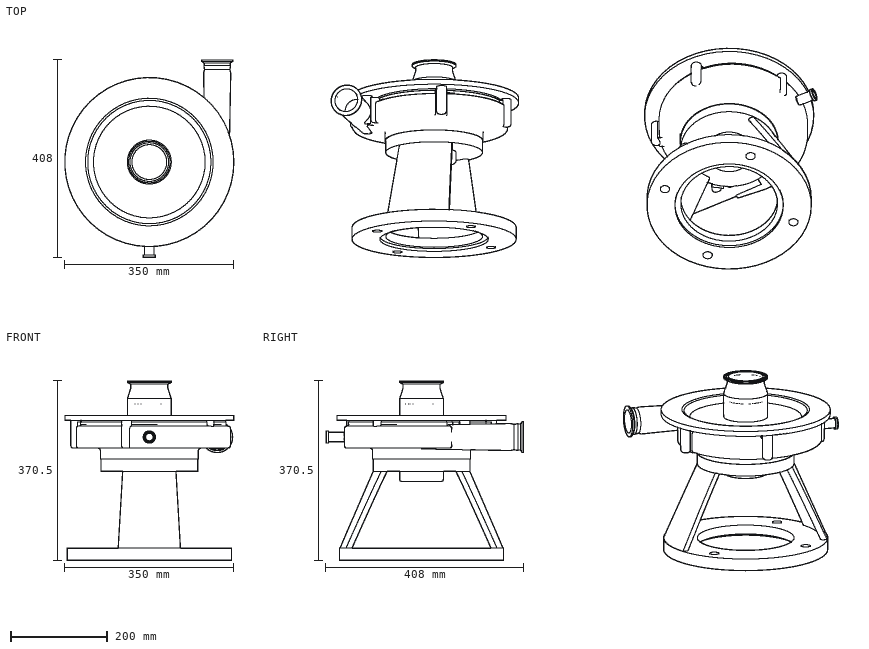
import cadquery as cq
import math

BASE_R = 170.0
BASE_BORE_R = 100.0
BASE_H = 25.0
BASE_RECESS_R = 112.0
BASE_RECESS_DEPTH = 6.0
BOLT_CIRCLE_R = 140.0
BOLT_HOLE_D = 19.0
BOLT_COUNT = 4

LEG_TOP_Z = 184.0
LEG_TOP_R = 100.0
LEG_BOTTOM_R = 169.0
LEG_THICKNESS = 14.0
LEG_TOP_HALF_W = 55.3
LEG_BOTTOM_HALF_W = 64.6
LEG_EDGE_R = 5.0
LEG_OVERLAP = 2.0

NECK_LOWER_R = 100.3
NECK_UPPER_R = 101.5
NECK_STEP_Z = 209.0
NECK_FILLET = 5.5
HUB_R = 45.5
HUB_BOTTOM_Z = 162.5
HUB_FILLET = 5.0

CASING_BOTTOM_Z = 231.7
CASING_TOP_Z = 277.7
SPIRAL_START_R = 134.0
SPIRAL_END_R = 168.0
SPIRAL_START_ANGLE = 30.0
SPIRAL_STEPS = 24
OUTLET_WALL_X = 164.0
OUTLET_WALL_Y = 62.0
CASING_FILLET = 5.5
COLLAR_INSET = 9.0
COLLAR_TOP_Z = 285.5
COLLAR_FILLET = 3.0
SEAT_INSET = 10.0

POST_COUNT = 5
POST_CIRCLE_R = 152.0
POST_R = 10.5
POST_FIRST_ANGLE = 36.0
WEB_R = 148.0
WEB_WIDTH = 24.0
WEB_LENGTH = 30.0

COVER_R = 175.0
COVER_BOTTOM_Z = 289.0
COVER_TOP_Z = 299.5
DISH_RIM_R = 132.0
DISH_RIM_DROP = 2.0
DISH_WALL_R = 127.5
DISH_FLOOR_R = 115.5
DISH_FLOOR_Z = 284.5

TOTAL_H = 370.5
INLET_R = 45.5
INLET_NECK_R = 38.5
INLET_CONE_BOTTOM_Z = 334.0
INLET_CONE_TOP_Z = 356.0
INLET_BORE_R = 36.0
INLET_BORE_WIDE_R = 43.0
BORE_CONE_BOTTOM_Z = 323.0
BORE_CONE_TOP_Z = 340.0

FLANGE_RIM = 3.0
FLANGE_TAPER = 3.5
GROOVE_DEPTH = 1.5
GROOVE_IN_R = 40.0
GROOVE_OUT_R = 43.0

PORT_Z = (CASING_BOTTOM_Z + CASING_TOP_Z) / 2
OUTLET_X = 140.3
OUTLET_END_Y = 211.0
OUTLET_FLANGE_R = 32.2
OUTLET_COLLAR_R = 27.1
OUTLET_BEAD_R = 27.6
OUTLET_WAIST_R = 26.4
OUTLET_PIPE_R = 28.2
OUTLET_ROOT_R = 24.8
OUTLET_BORE_R = 24.0
OUTLET_BORE_DEPTH = 100.0
OUTLET_COLLAR_Y = 199.5
OUTLET_BEAD_Y = 197.0
OUTLET_WAIST_Y = 191.5
OUTLET_SWELL_Y = 184.5
OUTLET_PIPE_Y = 177.5

DRAIN_END_Y = -197.0
DRAIN_R = 10.0
DRAIN_FLANGE_R = 12.7
DRAIN_FLANGE_T = 5.0
DRAIN_BORE_R = 7.7
DRAIN_GROOVE_IN_R = 9.0
DRAIN_GROOVE_OUT_R = 10.5
DRAIN_GROOVE_DEPTH = 0.8
DRAIN_BORE_END_Y = -160.0
DRAIN_ROOT_Y = -140.0


def polar(radius, degrees):
    angle = math.radians(degrees)
    return (radius * math.cos(angle), radius * math.sin(angle))


def cylinder(radius, z_bottom, z_top):
    return cq.Workplane("XY").workplane(offset=z_bottom).circle(radius).extrude(z_top - z_bottom)


def turned(profile):
    """Solid of revolution about Z from (radius, z) points."""
    return cq.Workplane("XZ").polyline(profile).close().revolve(360, (0, 0, 0), (0, 1, 0))


def turned_along_y(profile, x, z):
    """Solid of revolution about a line parallel to Y from (radius, y) points."""
    solid = cq.Workplane("XY").polyline(profile).close().revolve(360, (0, 0, 0), (0, 1, 0))
    return solid.translate((x, 0, z))


def base_ring():
    ring = cylinder(BASE_R, 0, BASE_H).cut(cylinder(BASE_BORE_R, 0, BASE_H))
    ring = ring.cut(cylinder(BASE_RECESS_R, 0, BASE_RECESS_DEPTH))
    holes = (
        cq.Workplane("XY")
        .polarArray(BOLT_CIRCLE_R, 180 / BOLT_COUNT, 360, BOLT_COUNT)
        .circle(BOLT_HOLE_D / 2)
        .extrude(BASE_H)
    )
    return ring.cut(holes)


def legs():
    """Conical shell cut to two tapering legs at -Y and +Y."""
    height = LEG_TOP_Z - BASE_H
    r_slope = (LEG_TOP_R - LEG_BOTTOM_R) / height
    w_slope = (LEG_TOP_HALF_W - LEG_BOTTOM_HALF_W) / height
    z_low = BASE_H - LEG_OVERLAP
    z_high = LEG_TOP_Z + LEG_OVERLAP
    r_low = LEG_BOTTOM_R - r_slope * LEG_OVERLAP
    r_high = LEG_TOP_R + r_slope * LEG_OVERLAP
    w_low = LEG_BOTTOM_HALF_W - w_slope * LEG_OVERLAP
    w_high = LEG_TOP_HALF_W + w_slope * LEG_OVERLAP
    shell = turned([
        (r_low - LEG_THICKNESS, z_low),
        (r_low, z_low),
        (r_high, z_high),
        (r_high - LEG_THICKNESS, z_high),
    ])
    outline = [(-w_low, z_low), (w_low, z_low), (w_high, z_high), (-w_high, z_high)]
    wedge = cq.Workplane("XZ").polyline(outline).close().extrude(BASE_R)
    leg = shell.intersect(wedge)
    middle_z = (BASE_H + LEG_TOP_Z) / 2
    middle_w = (LEG_TOP_HALF_W + LEG_BOTTOM_HALF_W) / 2
    inner_r = (LEG_TOP_R + LEG_BOTTOM_R) / 2 - LEG_THICKNESS
    edge_y = -math.sqrt(inner_r**2 - middle_w**2)
    for side in (-1, 1):
        inner_edge = cq.selectors.NearestToPointSelector((side * middle_w, edge_y, middle_z))
        leg = leg.edges(inner_edge).fillet(LEG_EDGE_R)
    return leg.union(leg.mirror("XZ"))


def neck_and_hub():
    flare_z = CASING_BOTTOM_Z - NECK_FILLET
    arc_mid = NECK_FILLET * (1 - math.sqrt(0.5))
    neck = (
        cq.Workplane("XZ")
        .moveTo(0, LEG_TOP_Z)
        .lineTo(NECK_LOWER_R, LEG_TOP_Z)
        .lineTo(NECK_LOWER_R, NECK_STEP_Z)
        .lineTo(NECK_UPPER_R, NECK_STEP_Z)
        .lineTo(NECK_UPPER_R, flare_z)
        .threePointArc(
            (NECK_UPPER_R + arc_mid, CASING_BOTTOM_Z - arc_mid),
            (NECK_UPPER_R + NECK_FILLET, CASING_BOTTOM_Z),
        )
        .lineTo(0, CASING_BOTTOM_Z)
        .close()
        .revolve(360, (0, 0, 0), (0, 1, 0))
    )
    hub = cylinder(HUB_R, HUB_BOTTOM_Z, NECK_STEP_Z).faces("<Z").edges().fillet(HUB_FILLET)
    return neck.union(hub)


def spiral_plate(inset, z_bottom, z_top):
    """Extruded volute outline: a growing spiral closed by a straight outlet wall."""
    growth = (SPIRAL_END_R - SPIRAL_START_R) / 360
    sweep = 360 - SPIRAL_START_ANGLE
    angles = [SPIRAL_START_ANGLE + sweep * i / SPIRAL_STEPS for i in range(SPIRAL_STEPS + 1)]
    points = [polar(SPIRAL_START_R + growth * angle - inset, angle) for angle in angles]
    return (
        cq.Workplane("XY")
        .workplane(offset=z_bottom)
        .moveTo(*points[0])
        .spline(points[1:], includeCurrent=True)
        .lineTo(OUTLET_WALL_X - inset, OUTLET_WALL_Y - inset)
        .close()
        .extrude(z_top - z_bottom)
    )


def post_positions():
    return [polar(POST_CIRCLE_R, POST_FIRST_ANGLE + i * 360 / POST_COUNT) for i in range(POST_COUNT)]


def posts(z_bottom, z_top):
    return (
        cq.Workplane("XY")
        .workplane(offset=z_bottom)
        .pushPoints(post_positions())
        .circle(POST_R)
        .extrude(z_top - z_bottom)
    )


def post_webs():
    """Blocks that tie the posts to the casing and the collar."""
    block = cq.Workplane("XY").box(
        WEB_LENGTH, WEB_WIDTH, COLLAR_TOP_Z - CASING_BOTTOM_Z, centered=(True, True, False)
    )
    block = block.edges(">X and |Y and <Z").fillet(CASING_FILLET)
    block = block.translate((WEB_R - WEB_LENGTH / 2, 0, CASING_BOTTOM_Z))
    webs = cq.Workplane("XY")
    for i in range(POST_COUNT):
        angle = POST_FIRST_ANGLE + i * 360 / POST_COUNT
        webs = webs.union(block.rotate((0, 0, 0), (0, 0, 1), angle))
    return webs


def casing():
    body = spiral_plate(0, CASING_BOTTOM_Z, CASING_TOP_Z)
    body = body.faces("<Z or >Z").edges().fillet(CASING_FILLET)
    collar = spiral_plate(COLLAR_INSET, CASING_TOP_Z, COLLAR_TOP_Z)
    body = body.union(collar)
    shelf = body.faces("+Z").faces("<Z").val()
    seam = sorted(shelf.innerWires()[0].Edges(), key=lambda edge: edge.Length())
    spiral_and_wall = seam[1:]
    body = cq.Workplane(body.val().fillet(COLLAR_FILLET, spiral_and_wall))
    seat = spiral_plate(SEAT_INSET, COLLAR_TOP_Z, COVER_BOTTOM_Z)
    lugs = posts(CASING_BOTTOM_Z, COVER_BOTTOM_Z).faces("<Z").edges().fillet(CASING_FILLET)
    return body.union(seat).union(post_webs()).union(lugs)


def cover():
    disc = cylinder(COVER_R, COVER_BOTTOM_Z, COVER_TOP_Z)
    dish = turned([
        (0, DISH_FLOOR_Z),
        (DISH_FLOOR_R, DISH_FLOOR_Z),
        (DISH_WALL_R, COVER_TOP_Z - DISH_RIM_DROP),
        (DISH_RIM_R, COVER_TOP_Z),
        (0, COVER_TOP_Z),
    ])
    return disc, dish


def inlet():
    rim_z = TOTAL_H - FLANGE_RIM
    outer = turned([
        (0, DISH_FLOOR_Z),
        (INLET_R, DISH_FLOOR_Z),
        (INLET_R, INLET_CONE_BOTTOM_Z),
        (INLET_NECK_R, INLET_CONE_TOP_Z),
        (INLET_NECK_R, rim_z - FLANGE_TAPER),
        (INLET_R, rim_z),
        (INLET_R, TOTAL_H),
        (0, TOTAL_H),
    ])
    bore = turned([
        (0, DISH_FLOOR_Z),
        (INLET_BORE_WIDE_R, DISH_FLOOR_Z),
        (INLET_BORE_WIDE_R, BORE_CONE_BOTTOM_Z),
        (INLET_BORE_R, BORE_CONE_TOP_Z),
        (INLET_BORE_R, TOTAL_H),
        (0, TOTAL_H),
    ])
    groove_z = TOTAL_H - GROOVE_DEPTH
    groove = cylinder(GROOVE_OUT_R, groove_z, TOTAL_H).cut(cylinder(GROOVE_IN_R, groove_z, TOTAL_H))
    return outer.cut(bore).cut(groove)


def outlet():
    rim_y = OUTLET_END_Y - FLANGE_RIM
    pipe = turned_along_y(
        [
            (0, 0),
            (OUTLET_ROOT_R, 0),
            (OUTLET_PIPE_R, OUTLET_PIPE_Y),
            (OUTLET_PIPE_R, OUTLET_SWELL_Y),
            (OUTLET_WAIST_R, OUTLET_WAIST_Y),
            (OUTLET_BEAD_R, OUTLET_BEAD_Y),
            (OUTLET_BEAD_R, OUTLET_COLLAR_Y),
            (OUTLET_COLLAR_R, OUTLET_COLLAR_Y),
            (OUTLET_COLLAR_R, rim_y - FLANGE_TAPER),
            (OUTLET_FLANGE_R, rim_y),
            (OUTLET_FLANGE_R, OUTLET_END_Y),
            (0, OUTLET_END_Y),
        ],
        OUTLET_X,
        PORT_Z,
    )
    bore_y = OUTLET_END_Y - OUTLET_BORE_DEPTH
    bore = turned_along_y(
        [(0, bore_y), (OUTLET_BORE_R, bore_y), (OUTLET_BORE_R, OUTLET_END_Y), (0, OUTLET_END_Y)],
        OUTLET_X,
        PORT_Z,
    )
    return pipe, bore


def drain():
    flange_y = DRAIN_END_Y + DRAIN_FLANGE_T
    pipe = turned_along_y(
        [
            (0, DRAIN_ROOT_Y),
            (DRAIN_R, DRAIN_ROOT_Y),
            (DRAIN_R, flange_y),
            (DRAIN_FLANGE_R, flange_y),
            (DRAIN_FLANGE_R, DRAIN_END_Y),
            (0, DRAIN_END_Y),
        ],
        0,
        PORT_Z,
    )
    bore = turned_along_y(
        [
            (0, DRAIN_BORE_END_Y),
            (DRAIN_BORE_R, DRAIN_BORE_END_Y),
            (DRAIN_BORE_R, DRAIN_END_Y),
            (0, DRAIN_END_Y),
        ],
        0,
        PORT_Z,
    )
    groove_y = DRAIN_END_Y + DRAIN_GROOVE_DEPTH
    groove = turned_along_y(
        [
            (DRAIN_GROOVE_IN_R, groove_y),
            (DRAIN_GROOVE_OUT_R, groove_y),
            (DRAIN_GROOVE_OUT_R, DRAIN_END_Y),
            (DRAIN_GROOVE_IN_R, DRAIN_END_Y),
        ],
        0,
        PORT_Z,
    )
    return pipe, bore.union(groove)


disc, dish = cover()
outlet_pipe, outlet_bore = outlet()
drain_pipe, drain_cuts = drain()

result = (
    base_ring()
    .union(legs())
    .union(neck_and_hub())
    .union(casing())
    .union(disc)
    .cut(dish)
    .union(outlet_pipe)
    .cut(outlet_bore)
    .union(drain_pipe)
    .cut(drain_cuts)
    .union(inlet())
)